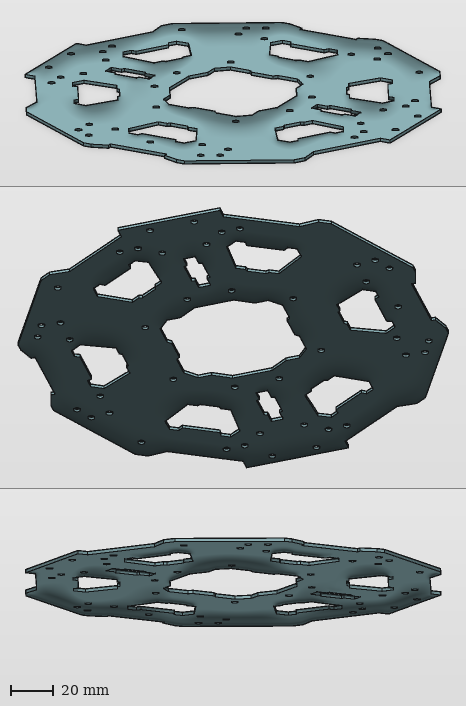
import cadquery as cq

LENGTH_X = 195.0
LENGTH_Y = 194.8
THICKNESS = 1.6

HALF_X = LENGTH_X / 2
HALF_Y = LENGTH_Y / 2

HOLE_DIAMETER = 3.1
FRAME_HOLES = [
    (29.8, 86.8),
    (37.8, 82.3),
    (37.0, 73.1),
    (23.2, 73.1),
    (81.0, 29.6),
    (81.0, 20.7),
    (92.6, 11.0),
    (74.1, 11.0),
    (36.0, 11.0),
    (21.3, 36.5),
]
TOP_CORNER_HOLE = (63.4, 66.0)
BOTTOM_CENTRE_HOLE = (0.0, -81.3)

WINDOW_COUNT = 6

SLOT_CENTRE_X = 55.0
SLOT_HALF_LENGTH = 11.7
SLOT_END_HALF_WIDTH = 3.0
SLOT_MIDDLE_HALF_WIDTH = 4.5
SLOT_MIDDLE_HALF_LENGTH = 5.7
SLOT_STEP_RUN = 0.5

PLATE_QUARTER = [
    (HALF_X, 25.2),
    (92.2, 25.2),
    (74.0, 56.7),
    (74.5, 66.3),
    (71.4, 71.5),
    (27.0, HALF_Y),
    (22.8, HALF_Y),
    (15.0, 94.8),
    (15.0, 92.8),
]
OPENING_QUARTER = [
    (28.9, 9.8),
    (23.5, 18.3),
    (23.5, 25.0),
    (18.0, 30.2),
    (7.5, 30.2),
    (5.7, 28.5),
]
SLOT_QUARTER = [
    (SLOT_HALF_LENGTH, SLOT_END_HALF_WIDTH),
    (SLOT_MIDDLE_HALF_LENGTH + SLOT_STEP_RUN, SLOT_END_HALF_WIDTH),
    (SLOT_MIDDLE_HALF_LENGTH, SLOT_MIDDLE_HALF_WIDTH),
]

WINDOW_HALF = [
    (4.5, 53.2),
    (5.7, 54.5),
    (10.3, 54.5),
    (18.0, 69.6),
    (14.6, 75.0),
    (10.1, 75.0),
    (9.0, 72.7),
]


def mirror_across_y_axis(points):
    """Complete a right-hand half outline with its mirrored left-hand half."""
    return points + [(-x, y) for x, y in reversed(points)]


def mirror_across_both_axes(points):
    """Complete a first-quadrant outline with its three mirrored quarters."""
    upper = mirror_across_y_axis(points)
    return upper + [(-x, -y) for x, y in upper]


def mirrored_places(places):
    """Repeat each place in all four quadrants."""
    return [(sx * x, sy * y) for x, y in places for sx in (1, -1) for sy in (1, -1)]


def prism(outline):
    """Closed outline extruded through the plate thickness."""
    return cq.Workplane("XY").polyline(outline).close().extrude(THICKNESS)


def cut_centre_opening(plate):
    return plate.cut(prism(mirror_across_both_axes(OPENING_QUARTER)))


def cut_windows(plate):
    window = prism(mirror_across_y_axis(WINDOW_HALF))
    for index in range(WINDOW_COUNT):
        plate = plate.cut(window.rotate((0, 0, 0), (0, 0, 1), index * 360 / WINDOW_COUNT))
    return plate


def cut_slots(plate):
    slot = prism(mirror_across_both_axes(SLOT_QUARTER))
    for side in (1, -1):
        plate = plate.cut(slot.translate((side * SLOT_CENTRE_X, 0, 0)))
    return plate


def cut_holes(plate):
    corner_x, corner_y = TOP_CORNER_HOLE
    places = mirrored_places(FRAME_HOLES)
    places += [(corner_x, corner_y), (-corner_x, corner_y), BOTTOM_CENTRE_HOLE]
    holes = cq.Workplane("XY").pushPoints(places).circle(HOLE_DIAMETER / 2).extrude(THICKNESS)
    return plate.cut(holes)


result = prism(mirror_across_both_axes(PLATE_QUARTER))
result = cut_centre_opening(result)
result = cut_windows(result)
result = cut_slots(result)
result = cut_holes(result)